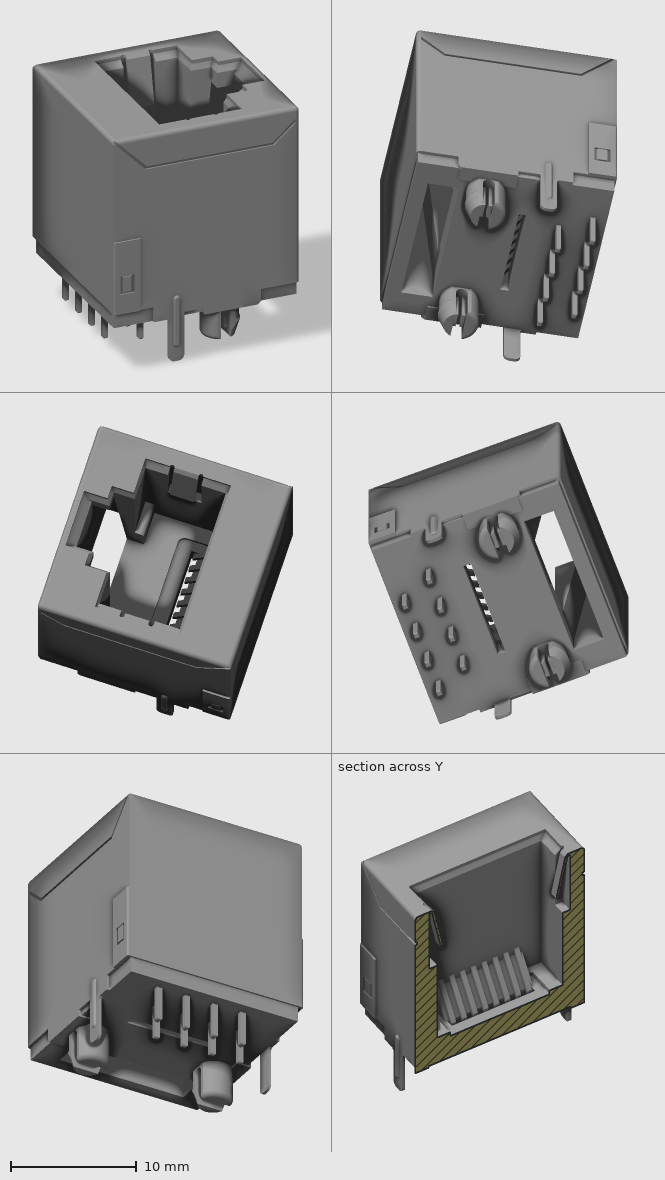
import cadquery as cq

TOP_Z = 20.3
SHIELD_HALF_X = 7.94
SHIELD_HALF_Y = 8.1
SHIELD_THICK = 0.26
EDGE_RADIUS = 0.35
RELIEF = 0.16

BASE_HALF_X = SHIELD_HALF_X - SHIELD_THICK
BASE_HALF_Y = SHIELD_HALF_Y - RELIEF
BASE_Z = 3.78
SKIRT_Z = 4.91
FRONT_SKIRT_Z = 5.1
FOOT_Z = BASE_Z - RELIEF

MOUTH_STEPS = [(6.41, 3.74), (3.43, 5.56), (2.35, 7.53)]
MOUTH_FRONT_Y = -3.43
CAVITY_STEPS = [(5.87, 3.55), (3.17, 5.3), (1.99, 6.75)]
CAVITY_FRONT_Y = -3.17
LEAD_IN_TOP_Z = 19.98
LEAD_IN_Z = 19.5
LATCH_SLOPE_Z = 19.18
FLOOR_Z = 6.5

LEDGE_Z = 9.14
LEDGE_REAR_Y = CAVITY_STEPS[0][1]
LEDGE_FRONT_Y = 2.8
LEDGE_RADIUS = 0.37

LATCH_BLOCK_Z = 18.19
CLEARANCE_HALF_X = 5.68
CLEARANCE_FRONT_Y = 4.22

WELL_HALF_X = 4.69
WELL_REAR_Y = 0.28
WELL_FRONT_Y = -2.6
WELL_DEPTH = 0.4
WELL_RADIUS = 0.57
WINDOW_HALF_X = 3.92
WINDOW_REAR_Y = -0.93

CONTACT_COUNT = 8
CONTACT_PITCH = 1.02
CONTACT_WIDTH = 0.43
CONTACT_RISE = 0.6
CONTACT_TIP_Y = -1.2
CONTACT_BEND_Y = -1.46
COMB_HALF_X = 4.08
COMB_TIP_Y = -1.58
COMB_TOP_Z = 8.53

FINGER_REAR_Y = 1.3
FINGER_FRONT_Y = -0.73
FINGER_GAP = 0.39
FINGER_GAP_RADIUS = 0.18
FINGER_POCKET_X = 6.58
FINGER_POCKET_Z = 14.2
FINGER_BEND_X = 6.11
FINGER_TIP_X = 5.28
FINGER_TIP_Z = 16.04

SEAM_WIDTH = 0.25
SEAM_Z = 17.6
SEAM_REAR_Y = 5.77
SEAM_FRONT_Y = -5.2
SEAM_REAR_END_Y = SHIELD_HALF_Y - EDGE_RADIUS
SEAM_REAR_END_Z = 19.33
SEAM_REAR_DROP = 0.35
SEAM_BEND_SHIFT = 0.08

FLAP_REAR_Y = -5.8
FLAP_TOP_Z = 11.43
FLAP_WINDOW_Y = -6.9
FLAP_WINDOW_Z = 7.61
FLAP_WINDOW_WIDTH = 1.25
FLAP_WINDOW_HEIGHT = 1.58
CATCH_REAR_Y = -6.37
CATCH_FRONT_Y = -7.3
CATCH_SLOPE = 0.25
CATCH_HEIGHT = 1.32
CATCH_CENTER_Z = 7.65

SKIRT_REAR_Y = 4.7
SKIRT_FRONT_Y = -4.57
SKIRT_CHAMFER = 0.25
NOTCH_REAR_Y = -0.12
NOTCH_Z = 4.18
TAIL_REAR_Y = -1.93
TAIL_FRONT_Y = -3.27
TAIL_TIP_RADIUS = 0.49
RIB_WIDTH = 0.6
RIB_TOP_Z = 5.75
RIB_BOTTOM_Z = 1.22
RIB_SLOPE = 0.15
PAD_INNER_X = 6.64

PIN_COUNT = 8
PIN_PITCH = 1.28
PIN_WIDTH = 0.49
PIN_DEPTH = 0.39
PIN_TIP_Z = 0.81
PIN_CHAMFER = 0.08
PIN_ROWS_Y = [-6.78, -4.25]

PEG_X = 5.7
PEG_Y = 2.1
PEG_RADIUS = 1.58
PEG_HALF_WIDTH = 1.38
PEG_TIP_Z = 0.65
PEG_TIP_FILLET = 0.4
PEG_SLOT = 0.95
PEG_SLOT_RADIUS = 0.47
BARB_RADIUS = 1.66
BARB_TIP_RADIUS = 1.22
BARB_TOP_Z = 2.23
BARB_Z = 2.03
CORE_HALF_X = 0.6
CORE_SLOT = 0.3
CORE_TIP_Z = 1.3


def box(x_min, x_max, y_min, y_max, z_min, z_max):
    size = (x_max - x_min, y_max - y_min, z_max - z_min)
    return cq.Workplane("XY").box(*size, centered=False).translate((x_min, y_min, z_min))


def prism_x(points, x_min, x_max):
    """Extrude a closed (Y, Z) outline from x_min to x_max."""
    return cq.Workplane("YZ", origin=(x_min, 0, 0)).polyline(points).close().extrude(x_max - x_min)


def both_sides(solid):
    return solid.union(solid.mirror("YZ"))


def stepped_outline(steps, front_y):
    """Stepped plug opening, symmetric about X = 0."""
    half = [(steps[0][0], front_y)]
    for index, (half_x, rear_y) in enumerate(steps):
        if index:
            half.append((half_x, steps[index - 1][1]))
        half.append((half_x, rear_y))
    return half + [(-x, y) for x, y in reversed(half)]


def make_body():
    shield = box(-SHIELD_HALF_X, SHIELD_HALF_X, -SHIELD_HALF_Y, SHIELD_HALF_Y, SKIRT_Z, TOP_Z)
    shield = shield.edges("|Z and >Y").fillet(EDGE_RADIUS)
    shield = shield.faces(">Z").edges().fillet(EDGE_RADIUS)
    front_gap = box(
        -SHIELD_HALF_X, SHIELD_HALF_X, -SHIELD_HALF_Y, SKIRT_FRONT_Y, SKIRT_Z, FRONT_SKIRT_Z
    )
    base = box(-BASE_HALF_X, BASE_HALF_X, -BASE_HALF_Y, BASE_HALF_Y, BASE_Z, FRONT_SKIRT_Z)
    return shield.cut(front_gap).union(base)


def make_mouth():
    """Plug opening in the top plate, tapering to the throat; the latch notch slopes deeper at its rear."""
    mouth = stepped_outline(MOUTH_STEPS, MOUTH_FRONT_Y)
    throat = stepped_outline(CAVITY_STEPS, CAVITY_FRONT_Y)
    latch_half_x, latch_rear_y = CAVITY_STEPS[2]
    notch_rear_y = MOUTH_STEPS[2][1]
    slope_share = (LEAD_IN_TOP_Z - LEAD_IN_Z) / (LEAD_IN_TOP_Z - LATCH_SLOPE_Z)
    lead_in_rear_y = notch_rear_y + slope_share * (latch_rear_y - notch_rear_y)
    lead_in_steps = CAVITY_STEPS[:2] + [(latch_half_x, lead_in_rear_y)]

    plate_cut = (
        cq.Workplane("XY", origin=(0, 0, LEAD_IN_TOP_Z))
        .polyline(mouth).close()
        .extrude(TOP_Z - LEAD_IN_TOP_Z)
    )
    lead_in = (
        cq.Workplane("XY", origin=(0, 0, LEAD_IN_TOP_Z))
        .polyline(mouth).close()
        .workplane(offset=LEAD_IN_Z - LEAD_IN_TOP_Z)
        .polyline(stepped_outline(lead_in_steps, CAVITY_FRONT_Y)).close()
        .loft(ruled=True)
    )
    latch_slope = prism_x(
        [
            (CAVITY_STEPS[1][1], LATCH_SLOPE_Z),
            (latch_rear_y, LATCH_SLOPE_Z),
            (lead_in_rear_y, LEAD_IN_Z),
            (CAVITY_STEPS[1][1], LEAD_IN_Z),
        ],
        -latch_half_x,
        latch_half_x,
    )
    throat_cut = (
        cq.Workplane("XY", origin=(0, 0, LATCH_BLOCK_Z))
        .polyline(throat).close()
        .extrude(LEAD_IN_Z - LATCH_BLOCK_Z)
    )
    return plate_cut.union(lead_in).union(latch_slope).union(throat_cut)


def make_cavity():
    """Plug space below the mouth, with side ledges and a latch channel whose rear edge slants."""
    plug_x = CAVITY_STEPS[0][0]
    channel_x = CAVITY_STEPS[1][0]
    channel_rear_y = CAVITY_STEPS[1][1]
    latch_rear_y = CAVITY_STEPS[2][1]
    plug = box(-plug_x, plug_x, CAVITY_FRONT_Y, LEDGE_REAR_Y, FLOOR_Z, LATCH_BLOCK_Z)
    ledge = box(-plug_x, plug_x, LEDGE_FRONT_Y, LEDGE_REAR_Y, FLOOR_Z, LEDGE_Z)
    ledge = ledge.edges("|X and <Y and >Z").fillet(LEDGE_RADIUS)
    channel = box(-channel_x, channel_x, LEDGE_FRONT_Y, CLEARANCE_FRONT_Y, FLOOR_Z, LATCH_BLOCK_Z)
    slant = prism_x(
        [
            (CLEARANCE_FRONT_Y, FLOOR_Z),
            (CLEARANCE_FRONT_Y, LATCH_BLOCK_Z),
            (channel_rear_y, LATCH_BLOCK_Z),
        ],
        -channel_x,
        channel_x,
    )
    clearance = prism_x(
        [
            (CLEARANCE_FRONT_Y, BASE_Z),
            (CLEARANCE_FRONT_Y, FLOOR_Z),
            (channel_rear_y, LATCH_BLOCK_Z),
            (latch_rear_y, LATCH_BLOCK_Z),
            (latch_rear_y, BASE_Z),
        ],
        -CLEARANCE_HALF_X,
        CLEARANCE_HALF_X,
    )
    return plug.cut(ledge).union(channel).union(slant).union(clearance)


def make_contact_well():
    well = box(-WELL_HALF_X, WELL_HALF_X, WELL_FRONT_Y, WELL_REAR_Y, FLOOR_Z - WELL_DEPTH, FLOOR_Z)
    well = well.edges("|Z and >Y").fillet(WELL_RADIUS)
    window = box(-WINDOW_HALF_X, WINDOW_HALF_X, COMB_TIP_Y, WINDOW_REAR_Y, BASE_Z, FLOOR_Z)
    return well.union(window)


def make_contacts():
    root_z = FLOOR_Z - WELL_DEPTH
    comb_outline = [(CAVITY_FRONT_Y, root_z), (COMB_TIP_Y, root_z), (CAVITY_FRONT_Y, COMB_TOP_Z)]
    contacts = prism_x(comb_outline, -COMB_HALF_X, COMB_HALF_X)
    slope = (root_z - COMB_TOP_Z) / (COMB_TIP_Y - CAVITY_FRONT_Y)
    bend_z = COMB_TOP_Z + CONTACT_RISE + slope * (CONTACT_BEND_Y - CAVITY_FRONT_Y)
    contact_outline = [
        (CAVITY_FRONT_Y, root_z),
        (COMB_TIP_Y, root_z),
        (CONTACT_TIP_Y, root_z - CONTACT_RISE),
        (CONTACT_TIP_Y, root_z),
        (CONTACT_BEND_Y, bend_z),
        (CAVITY_FRONT_Y, COMB_TOP_Z + CONTACT_RISE),
    ]
    for index in range(CONTACT_COUNT):
        x = (index - (CONTACT_COUNT - 1) / 2) * CONTACT_PITCH
        contacts = contacts.union(prism_x(contact_outline, x - CONTACT_WIDTH / 2, x + CONTACT_WIDTH / 2))
    return contacts


def make_finger_pocket():
    """Room for one spring finger, with a round-ended gap along each side of it."""
    rear_y = FINGER_REAR_Y + FINGER_GAP
    front_y = FINGER_FRONT_Y - FINGER_GAP
    pocket = box(FINGER_TIP_X, FINGER_POCKET_X, front_y, rear_y, FINGER_POCKET_Z, TOP_Z - SHIELD_THICK)
    for gap_front_y in (FINGER_REAR_Y, front_y):
        gap_rear_y = gap_front_y + FINGER_GAP
        gap = box(FINGER_TIP_X, FINGER_POCKET_X, gap_front_y, gap_rear_y, FINGER_POCKET_Z, TOP_Z)
        pocket = pocket.union(gap.edges("|Z and >X").fillet(FINGER_GAP_RADIUS))
    return pocket


def make_finger():
    plate_z = TOP_Z - SHIELD_THICK
    mouth_x = MOUTH_STEPS[0][0]
    outline = [
        (FINGER_POCKET_X + SHIELD_THICK, TOP_Z),
        (mouth_x, TOP_Z),
        (FINGER_BEND_X, plate_z),
        (FINGER_TIP_X, FINGER_TIP_Z),
        (FINGER_TIP_X + SHIELD_THICK, FINGER_TIP_Z),
        (FINGER_BEND_X + SHIELD_THICK, plate_z),
        (FINGER_POCKET_X + SHIELD_THICK, plate_z),
    ]
    finger = cq.Workplane("XZ", origin=(0, FINGER_REAR_Y, 0)).polyline(outline).close()
    return finger.extrude(FINGER_REAR_Y - FINGER_FRONT_Y)


def make_seam():
    """Trapezoid groove band in a side wall, running from the rear bend to the top front corner."""
    lower_z = SEAM_Z - SEAM_WIDTH
    lower_front_y = SEAM_FRONT_Y - SEAM_BEND_SHIFT
    upper_edge = [
        (SEAM_REAR_END_Y, SEAM_REAR_END_Z),
        (SEAM_REAR_Y, SEAM_Z),
        (SEAM_FRONT_Y, SEAM_Z),
        (SEAM_FRONT_Y - (TOP_Z - SEAM_Z), TOP_Z),
    ]
    lower_edge = [
        (SEAM_REAR_END_Y, SEAM_REAR_END_Z - SEAM_REAR_DROP),
        (SEAM_REAR_Y + SEAM_BEND_SHIFT, lower_z),
        (lower_front_y, lower_z),
        (lower_front_y - (TOP_Z - lower_z), TOP_Z),
    ]
    return prism_x(upper_edge + lower_edge[::-1], SHIELD_HALF_X - RELIEF, SHIELD_HALF_X)


def make_flap():
    outer_x = SHIELD_HALF_X + RELIEF
    flap = box(BASE_HALF_X, outer_x, -SHIELD_HALF_Y, FLAP_REAR_Y, FRONT_SKIRT_Z, FLAP_TOP_Z)
    flap = flap.edges("|Z and >X and <Y").fillet(RELIEF)
    window = cq.Workplane("XY").box(RELIEF, FLAP_WINDOW_WIDTH, FLAP_WINDOW_HEIGHT)
    window = window.translate((SHIELD_HALF_X + RELIEF / 2, FLAP_WINDOW_Y, FLAP_WINDOW_Z))
    catch = (
        cq.Workplane("XY", origin=(0, 0, CATCH_CENTER_Z - CATCH_HEIGHT / 2))
        .polyline([
            (BASE_HALF_X, CATCH_REAR_Y),
            (SHIELD_HALF_X, CATCH_REAR_Y),
            (outer_x, CATCH_REAR_Y - CATCH_SLOPE),
            (outer_x, CATCH_FRONT_Y),
            (BASE_HALF_X, CATCH_FRONT_Y),
        ])
        .close()
        .extrude(CATCH_HEIGHT)
    )
    return flap.cut(window).union(catch)


def make_skirt():
    """Side wall of the shield below the body, with its solder tail and stiffening rib."""
    outline = [
        (SKIRT_REAR_Y, FRONT_SKIRT_Z),
        (SKIRT_REAR_Y, FOOT_Z + SKIRT_CHAMFER),
        (SKIRT_REAR_Y - SKIRT_CHAMFER, FOOT_Z),
        (NOTCH_REAR_Y, FOOT_Z),
        (NOTCH_REAR_Y, NOTCH_Z),
        (TAIL_FRONT_Y, NOTCH_Z),
        (TAIL_FRONT_Y, FOOT_Z),
        (TAIL_FRONT_Y - RELIEF, BASE_Z),
        (SKIRT_FRONT_Y, BASE_Z),
        (SKIRT_FRONT_Y, FRONT_SKIRT_Z),
    ]
    skirt = prism_x(outline, BASE_HALF_X, SHIELD_HALF_X)
    tail = box(BASE_HALF_X, SHIELD_HALF_X, TAIL_FRONT_Y, TAIL_REAR_Y, 0, NOTCH_Z)
    tail = tail.edges("|X and <Z").fillet(TAIL_TIP_RADIUS)
    rib = (
        cq.Workplane("YZ", origin=(SHIELD_HALF_X, 0, 0))
        .center((TAIL_REAR_Y + TAIL_FRONT_Y) / 2, (RIB_TOP_Z + RIB_BOTTOM_Z) / 2)
        .slot2D(RIB_TOP_Z - RIB_BOTTOM_Z, RIB_WIDTH, 90)
        .extrude(RELIEF)
        .faces(">X").chamfer(RIB_SLOPE)
    )
    pad = box(PAD_INNER_X, BASE_HALF_X, NOTCH_REAR_Y, SKIRT_REAR_Y - SKIRT_CHAMFER, FOOT_Z, BASE_Z)
    return skirt.union(tail).union(rib).union(pad)


def make_pins():
    pins = cq.Workplane("XY")
    for index in range(PIN_COUNT):
        x = (index - (PIN_COUNT - 1) / 2) * PIN_PITCH
        y = PIN_ROWS_Y[index % 2]
        pin = box(-PIN_WIDTH / 2, PIN_WIDTH / 2, -PIN_DEPTH / 2, PIN_DEPTH / 2, PIN_TIP_Z, BASE_Z)
        pin = pin.faces("<Z").chamfer(PIN_CHAMFER)
        pins = pins.union(pin.translate((x, y, 0)))
    return pins


def make_peg():
    """Flat-sided round peg split along X, with a barb on its rear half and a slotted core."""
    front = cq.Workplane("XY").circle(PEG_RADIUS).extrude(BASE_Z - PEG_TIP_Z)
    front = front.translate((0, 0, PEG_TIP_Z)).faces("<Z").edges().fillet(PEG_TIP_FILLET)
    front = front.cut(box(-PEG_RADIUS, PEG_RADIUS, 0, PEG_RADIUS, PEG_TIP_Z, BASE_Z))
    barbed_half = [
        (0, BASE_Z),
        (PEG_RADIUS, BASE_Z),
        (PEG_RADIUS, BARB_TOP_Z),
        (BARB_RADIUS, BARB_Z),
        (BARB_TIP_RADIUS, PEG_TIP_Z),
        (0, PEG_TIP_Z),
    ]
    rear = cq.Workplane("XZ").polyline(barbed_half).close().revolve(360, (0, 0), (0, 1))
    rear = rear.cut(box(-BARB_RADIUS, BARB_RADIUS, -BARB_RADIUS, 0, PEG_TIP_Z, BASE_Z))
    flats = box(-PEG_HALF_WIDTH, PEG_HALF_WIDTH, -BARB_RADIUS, BARB_RADIUS, PEG_TIP_Z, BASE_Z)
    slot = box(-PEG_RADIUS, PEG_RADIUS, -PEG_SLOT / 2, PEG_SLOT / 2, PEG_TIP_Z - PEG_SLOT, FOOT_Z)
    slot = slot.edges("|X and >Z").fillet(PEG_SLOT_RADIUS)
    core = box(-CORE_HALF_X, CORE_HALF_X, -PEG_SLOT / 2, PEG_SLOT / 2, CORE_TIP_Z, BASE_Z)
    core_slot = box(-CORE_HALF_X, CORE_HALF_X, -CORE_SLOT / 2, CORE_SLOT / 2, CORE_TIP_Z, FOOT_Z)
    peg = front.union(rear).intersect(flats).cut(slot).union(core.cut(core_slot))
    return peg.translate((PEG_X, PEG_Y, 0))


result = (
    make_body()
    .cut(make_mouth())
    .cut(make_cavity())
    .cut(make_contact_well())
    .cut(both_sides(make_finger_pocket()))
    .cut(both_sides(make_seam()))
    .union(make_contacts())
    .union(both_sides(make_finger()))
    .union(both_sides(make_flap()))
    .union(both_sides(make_skirt()))
    .union(make_pins())
    .union(both_sides(make_peg()))
)